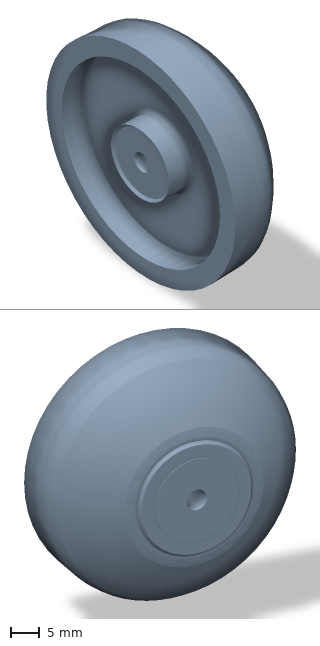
import cadquery as cq
import math

overall_width = 19.0
hub_overhang = 0.2

rim_radius = 24.5
rim_draft = 2.0
dome_radius = 30.2
dome_centre_y = -9.25
shoulder_fillet = 5.0
crest_fillet = 4.0

crest_y = 18.2
pad_top_radius = 10.6
pad_foot_radius = 11.1
boss_height = 0.15
boss_radius = 8.0
pad_top_y = overall_width - boss_height

recess_radius = 20.5
recess_depth = 5.0
recess_fillet = 0.5
hub_radius = 7.5
hub_fillet = 1.0
hub_chamfer = 0.5

bush_radius = hub_radius - hub_chamfer
bore_radius = 2.0

rim_face_y = hub_overhang
floor_y = rim_face_y + recess_depth


def dome_point(radius):
    """Point of the dome arc at a given distance from the axis."""
    return radius, dome_centre_y + math.sqrt(dome_radius**2 - radius**2)


def rim_dome_corner():
    """Sharp corner where the drafted rim meets the dome."""
    slope = math.tan(math.radians(rim_draft))
    line_start = rim_radius + slope * (rim_face_y - dome_centre_y)
    a = 1 + slope**2
    b = -2 * line_start * slope
    c = line_start**2 - dome_radius**2
    height = (-b + math.sqrt(b**2 - 4 * a * c)) / (2 * a)
    return line_start - slope * height, dome_centre_y + height


def turn(profile):
    """Revolve a closed radius / y profile about the Y axis."""
    return profile.close().revolve(360, (0, 0, 0), (0, 1, 0))


def circle_edge(body, radius, y):
    """Select the circular edge of a given radius at a given y."""
    tolerance = 0.01
    reach = radius + tolerance
    at_y = cq.selectors.BoxSelector(
        (-reach, y - tolerance, -reach), (reach, y + tolerance, reach), boundingbox=True
    )
    inner = radius - tolerance
    smaller = cq.selectors.BoxSelector(
        (-inner, y - tolerance, -inner), (inner, y + tolerance, inner), boundingbox=True
    )
    return body.edges(at_y - smaller)


def make_wheel():
    """Domed wheel with a recess, a hub around the bush and a raised pad."""
    corner = rim_dome_corner()
    crest_radius = math.sqrt(dome_radius**2 - (crest_y - dome_centre_y) ** 2)
    dome_middle = dome_point((corner[0] + crest_radius) / 2)
    wheel = turn(
        cq.Workplane("XY")
        .moveTo(hub_radius, 0)
        .lineTo(hub_radius, floor_y)
        .lineTo(recess_radius, floor_y)
        .lineTo(recess_radius, rim_face_y)
        .lineTo(rim_radius, rim_face_y)
        .lineTo(*corner)
        .threePointArc(dome_middle, (crest_radius, crest_y))
        .lineTo(pad_foot_radius, crest_y)
        .lineTo(pad_top_radius, pad_top_y)
        .lineTo(boss_radius, pad_top_y)
        .lineTo(boss_radius, overall_width)
        .lineTo(bush_radius, overall_width)
        .lineTo(bush_radius, hub_chamfer)
    )
    wheel = circle_edge(wheel, *corner).fillet(shoulder_fillet)
    wheel = circle_edge(wheel, crest_radius, crest_y).fillet(crest_fillet)
    wheel = circle_edge(wheel, recess_radius, floor_y).fillet(recess_fillet)
    return circle_edge(wheel, hub_radius, floor_y).fillet(hub_fillet)


def make_bush():
    """Plain bush filling the hub, with a pilot bore right through."""
    return turn(
        cq.Workplane("XY")
        .moveTo(bore_radius, hub_chamfer)
        .lineTo(bush_radius, hub_chamfer)
        .lineTo(bush_radius, overall_width)
        .lineTo(bore_radius, overall_width)
    )


wheel = make_wheel()
bush = make_bush()

result = cq.Compound.makeCompound([wheel.val(), bush.val()])